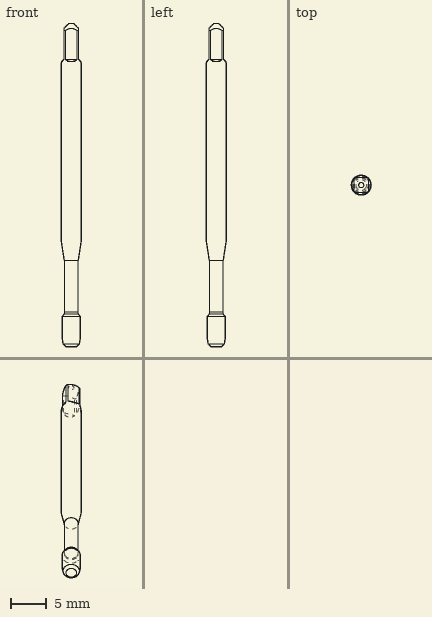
import cadquery as cq

total_length = 45.1

body_diameter = 2.8
body_bottom_z = 14.65
body_top_z = 39.6
neck_diameter = 1.95
taper_end_diameter = 2.05
taper_end_z = 12.18
neck_step_height = 0.15

stem_diameter = 2.65
square_across_flats = 2.07
flats_bottom_z = 40.1
tip_diameter = 0.7
tip_height = 1.0
shoulder_chamfer_height = 0.23

head_diameter = 2.55
head_top_z = 4.85
head_collar_z = 4.6
head_shoulder_z = 4.2
lead_top_z = 1.2
lead_diameter = 2.3
end_chamfer_z = 0.4
end_diameter = lead_diameter - 2 * end_chamfer_z


def turned(profile):
    """Revolve (diameter, z) points about the Z axis, closing the outline along the axis."""
    bottom_z = profile[0][1]
    top_z = profile[-1][1]
    outline = [(0, bottom_z)] + [(diameter / 2, z) for diameter, z in profile] + [(0, top_z)]
    return cq.Workplane("XZ").polyline(outline).close().revolve(360, (0, 0), (0, 1))


def make_flat_cutter():
    """Tool that cuts one drive flat, with a 45 degree run-out ramp at its lower end."""
    flat = square_across_flats / 2
    reach = body_diameter
    cutter_top = total_length + 0.45
    outline = [
        (flat, flats_bottom_z),
        (flat, cutter_top),
        (reach, cutter_top),
        (reach, flats_bottom_z - (reach - flat)),
    ]
    return (
        cq.Workplane("XZ").polyline(outline).close()
        .extrude(body_diameter, both=True)
    )


def make_shank():
    shank = turned([
        (neck_diameter, head_top_z),
        (neck_diameter, taper_end_z - neck_step_height),
        (taper_end_diameter, taper_end_z),
        (body_diameter, body_bottom_z),
        (body_diameter, body_top_z),
        (stem_diameter, body_top_z + shoulder_chamfer_height),
        (stem_diameter, total_length - tip_height),
        (tip_diameter, total_length),
    ])
    cutter = make_flat_cutter()
    for angle in (0, 90, 180, 270):
        shank = shank.cut(cutter.rotate((0, 0, 0), (0, 0, 1), angle))
    return shank


def make_head():
    return turned([
        (end_diameter, 0),
        (lead_diameter, end_chamfer_z),
        (head_diameter, lead_top_z),
        (head_diameter, head_shoulder_z),
        (neck_diameter, head_collar_z),
        (neck_diameter, head_top_z),
    ])


shank = make_shank()
head = make_head()

result = cq.Compound.makeCompound([shank.val(), head.val()])